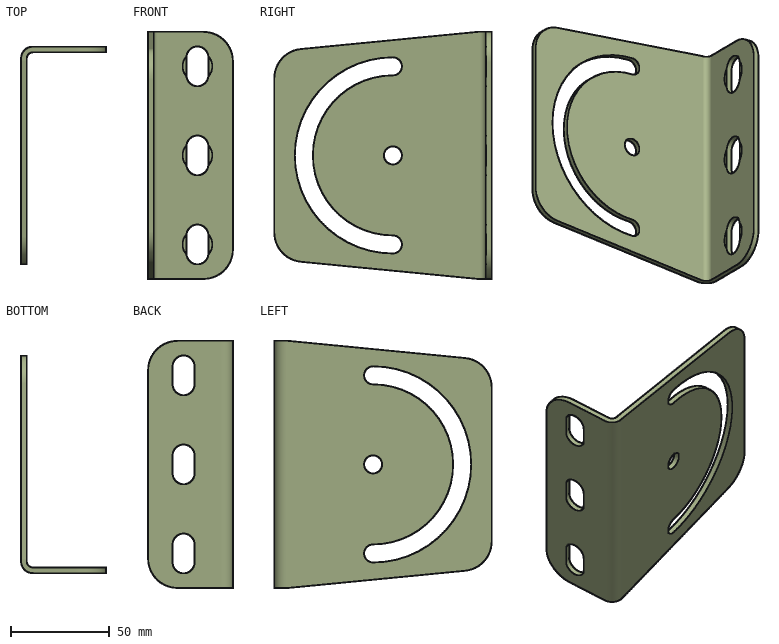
import cadquery as cq

height = 125
thickness = 3.0
mount_width = 43.0
flange_length = 110
bend_inner_radius = thickness
bend_outer_radius = bend_inner_radius + thickness
corner_radius = 15
taper_start = 7.0
taper_drop = 10

slot_count = 3
slot_pitch = 45
slot_width = 11.0
slot_length = 20
slot_x = 25
spotface_diameter = 15
spotface_depth = 0.1

pivot_diameter = 9.0
pivot_y = -50
arc_radius = 45
arc_slot_width = pivot_diameter
arc_inner_radius = arc_radius - arc_slot_width / 2
arc_outer_radius = arc_radius + arc_slot_width / 2


def bent_sheet():
    """L-shaped sheet with a rounded bend along Z."""
    outer = (
        cq.Workplane("XY")
        .rect(mount_width, flange_length)
        .extrude(height / 2, both=True)
        .translate((mount_width / 2, -flange_length / 2, 0))
        .edges("|Z and <X and >Y")
        .fillet(bend_outer_radius)
    )
    inside = (
        cq.Workplane("XY")
        .rect(mount_width, flange_length)
        .extrude(height / 2, both=True)
        .translate((mount_width / 2 + thickness, -flange_length / 2 - thickness, 0))
        .edges("|Z and <X and >Y")
        .fillet(bend_inner_radius)
    )
    return outer.cut(inside)


def wide_flange_outline():
    """Tapered outline with rounded free corners, extruded across the part."""
    half_height = height / 2
    end_half_height = half_height - taper_drop
    return (
        cq.Workplane("YZ")
        .moveTo(0, -half_height)
        .lineTo(0, half_height)
        .lineTo(-taper_start, half_height)
        .lineTo(-flange_length, end_half_height)
        .lineTo(-flange_length, -end_half_height)
        .lineTo(-taper_start, -half_height)
        .close()
        .extrude(mount_width)
        .edges("|X and <Y")
        .fillet(corner_radius)
    )


def mounting_slots():
    """Row of vertical slots through the mounting flange."""
    return (
        cq.Workplane("XZ")
        .center(slot_x, 0)
        .rarray(1.2, slot_pitch, 1, slot_count)
        .slot2D(slot_length, slot_width, 90)
        .extrude(thickness)
    )


def slot_spotfaces():
    """Shallow round seats centred on the slots, on the inner face of the mounting flange."""
    return (
        cq.Workplane("XZ", origin=(slot_x, -thickness, 0))
        .rarray(1.2, slot_pitch, 1, slot_count)
        .circle(spotface_diameter / 2)
        .extrude(-spotface_depth)
    )


def pivot_hole():
    return cq.Workplane("YZ").center(pivot_y, 0).circle(pivot_diameter / 2).extrude(thickness)


def arc_slot():
    """Half-circle slot around the pivot, with round ends."""
    return (
        cq.Workplane("YZ")
        .center(pivot_y, 0)
        .moveTo(0, arc_outer_radius)
        .threePointArc((-arc_outer_radius, 0), (0, -arc_outer_radius))
        .threePointArc((arc_slot_width / 2, -arc_radius), (0, -arc_inner_radius))
        .threePointArc((-arc_inner_radius, 0), (0, arc_inner_radius))
        .threePointArc((arc_slot_width / 2, arc_radius), (0, arc_outer_radius))
        .close()
        .extrude(thickness)
    )


bracket = bent_sheet().edges("|Y and >X").fillet(corner_radius)
bracket = bracket.intersect(wide_flange_outline())
bracket = bracket.cut(mounting_slots()).cut(slot_spotfaces())
result = bracket.cut(pivot_hole()).cut(arc_slot())